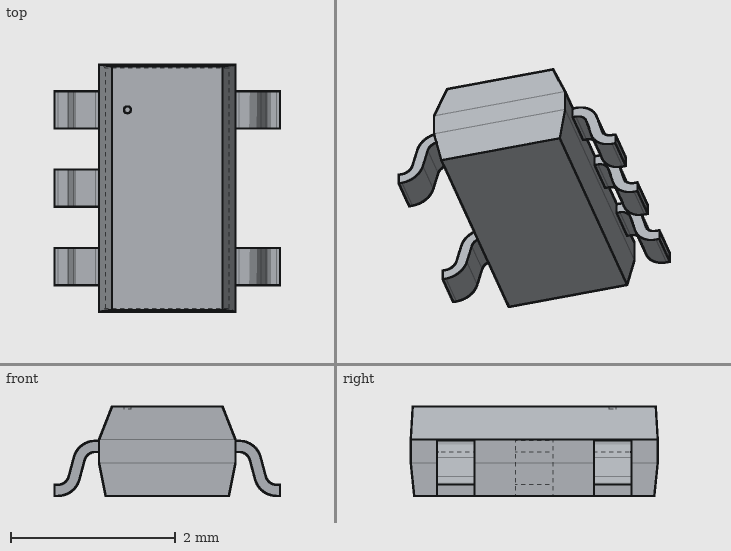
import cadquery as cq
import math

length_y = 3.0
span_x = 2.74
height = 1.09

housing_width = 1.66
band_bottom = 0.402
band_top = 0.685
top_inset_x = 0.16
top_inset_y = 0.025
bottom_inset_x = 0.08
bottom_inset_y = 0.042

lead_width = 0.455
lead_thickness = 0.138
lead_top = 0.672
lead_pitch = 0.95
bend_inner_radius = 0.135
bend_outer_radius = bend_inner_radius + lead_thickness
shank_lean = math.radians(15)

marker_diameter = 0.085
marker_depth = 0.03
marker_center = (-0.483, lead_pitch)


def tapered_block(z_start, z_end, inset_x, inset_y):
    """Frustum from the full housing section at z_start to an inset one at z_end."""
    return (
        cq.Workplane("XY", origin=(0, 0, z_start))
        .rect(housing_width, length_y)
        .workplane(offset=z_end - z_start)
        .rect(housing_width - 2 * inset_x, length_y - 2 * inset_y)
        .loft(ruled=True)
    )


def make_marker():
    return (
        cq.Workplane("XY", origin=(*marker_center, height - marker_depth))
        .circle(marker_diameter / 2)
        .extrude(marker_depth)
    )


def make_housing():
    band = (
        cq.Workplane("XY", origin=(0, 0, band_bottom))
        .rect(housing_width, length_y)
        .extrude(band_top - band_bottom)
    )
    upper_cap = tapered_block(band_top, height, top_inset_x, top_inset_y)
    lower_cap = tapered_block(band_bottom, 0, bottom_inset_x, bottom_inset_y)
    marker_recess = make_marker()
    return band.union(upper_cap).union(lower_cap).cut(marker_recess)


def around(center, radius, angle):
    """Point at the given radius and angle about a bend centre."""
    return (center[0] + radius * math.cos(angle), center[1] + radius * math.sin(angle))


def make_lead(y_center):
    """One lead on the -X side, ending flush against the housing band."""
    tip_x = -span_x / 2
    root_x = -housing_width / 2

    bend_sum = bend_inner_radius + bend_outer_radius
    bend_turn = math.pi / 2 - shank_lean
    shank_rise = lead_top - lead_thickness - bend_sum * (1 - math.cos(bend_turn))
    run = bend_sum * math.sin(bend_turn) + shank_rise * math.tan(shank_lean)
    flat_length = (root_x - tip_x - run) / 2

    foot_center = (tip_x + flat_length, bend_outer_radius)
    root_center = (root_x - flat_length, lead_top - bend_outer_radius)
    down = -math.pi / 2
    up = math.pi / 2
    foot_end = -shank_lean
    root_end = math.pi - shank_lean
    foot_mid = (down + foot_end) / 2
    root_mid = (up + root_end) / 2

    profile = (
        cq.Workplane("XZ", origin=(0, y_center + lead_width / 2, 0))
        .moveTo(tip_x, 0)
        .lineTo(*around(foot_center, bend_outer_radius, down))
        .threePointArc(
            around(foot_center, bend_outer_radius, foot_mid),
            around(foot_center, bend_outer_radius, foot_end),
        )
        .lineTo(*around(root_center, bend_inner_radius, root_end))
        .threePointArc(
            around(root_center, bend_inner_radius, root_mid),
            around(root_center, bend_inner_radius, up),
        )
        .lineTo(root_x, lead_top - lead_thickness)
        .lineTo(root_x, lead_top)
        .lineTo(*around(root_center, bend_outer_radius, up))
        .threePointArc(
            around(root_center, bend_outer_radius, root_mid),
            around(root_center, bend_outer_radius, root_end),
        )
        .lineTo(*around(foot_center, bend_inner_radius, foot_end))
        .threePointArc(
            around(foot_center, bend_inner_radius, foot_mid),
            around(foot_center, bend_inner_radius, down),
        )
        .lineTo(tip_x, lead_thickness)
        .close()
    )
    return profile.extrude(lead_width)


housing = make_housing()
marker = make_marker()

left_leads = [make_lead(row * lead_pitch) for row in (-1, 0, 1)]
right_leads = [make_lead(row * lead_pitch).mirror("YZ") for row in (-1, 1)]
leads = left_leads + right_leads

result = cq.Compound.makeCompound([housing.val(), marker.val(), *[lead.val() for lead in leads]])